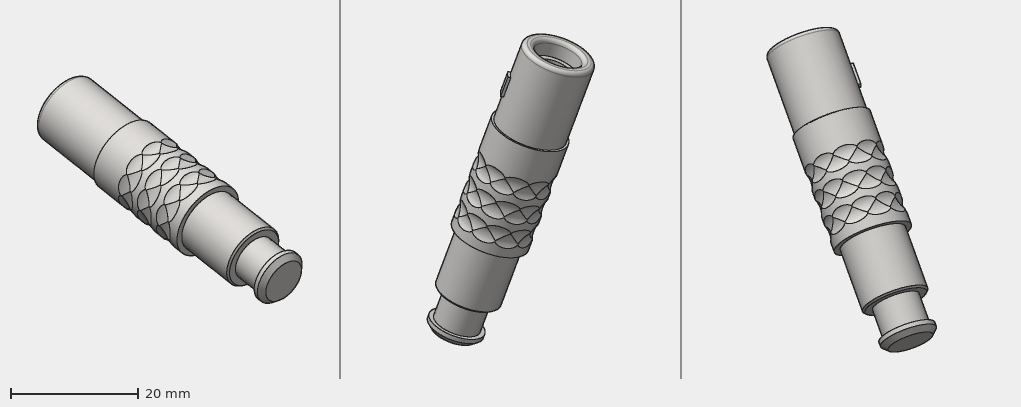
import cadquery as cq
import math


total_length = 52.0
sleeve_start = 14.3
sleeve_end = 34.0
rear_body_end = 45.0
flange_start = 50.3
flange_bevel_start = 51.05

nose_radius = 6.05
sleeve_radius = 6.45
rear_body_radius = 5.45
neck_radius = 3.9
flange_radius = 4.7
flange_end_radius = 3.75
rear_body_chamfer = 0.3

mouth_round = 0.75
bore_radius = 4.0
bore_depth = 3.0
insert_radius = 2.95
insert_floor_x = 7.6

pin_radius = 0.4
pin_tip_x = 4.1
pin_circle_radius = 1.85
outer_pin_count = 6

mark_start = 6.15
mark_length = 3.6
mark_width = 2.0
mark_radius = 6.5

grip_row_count = 3
grip_row_pitch = 4.45
first_ring_x = 21.25
ring_stagger = 0.85
scallops_per_ring = 10
scallop_radius = 2.45
scallop_depth = 0.39
scallop_cutter_length = 6.25


def cylinder_along_x(radius, start, end):
    return cq.Workplane("YZ", origin=(start, 0, 0)).circle(radius).extrude(end - start)


def outer_body():
    profile = [
        (0, 0),
        (0, nose_radius),
        (sleeve_start, nose_radius),
        (sleeve_start, sleeve_radius),
        (sleeve_end, sleeve_radius),
        (sleeve_end, rear_body_radius),
        (rear_body_end - rear_body_chamfer, rear_body_radius),
        (rear_body_end, rear_body_radius - rear_body_chamfer),
        (rear_body_end, neck_radius),
        (flange_start, neck_radius),
        (flange_start, flange_radius),
        (flange_bevel_start, flange_radius),
        (total_length, flange_end_radius),
        (total_length, 0),
    ]
    return cq.Workplane("XY").polyline(profile).close().revolve(360, (0, 0, 0), (1, 0, 0))


def socket(body):
    bored = body.cut(cylinder_along_x(bore_radius, 0, bore_depth))
    rounded = bored.faces("<X").edges().fillet(mouth_round)
    return rounded.cut(cylinder_along_x(insert_radius, bore_depth, insert_floor_x))


def contact_pins():
    """One central pin and a ring of pins around it, all with domed tips."""
    shank = cylinder_along_x(pin_radius, pin_tip_x + pin_radius, insert_floor_x)
    dome = cq.Workplane("XY").sphere(pin_radius).translate((pin_tip_x + pin_radius, 0, 0))
    pin = shank.union(dome).val()
    pins = [pin]
    for index in range(outer_pin_count):
        angle = 2 * math.pi * index / outer_pin_count
        offset_y = pin_circle_radius * math.sin(angle)
        offset_z = pin_circle_radius * math.cos(angle)
        pins.append(pin.translate(cq.Vector(0, offset_y, offset_z)))
    return pins


def index_mark():
    """Rectangular pad whose top follows a cylinder around the axis."""
    root_y = (bore_radius + nose_radius) / 2
    block = cq.Workplane("XY").box(
        mark_length, mark_radius - root_y, mark_width, centered=(False, False, True)
    ).translate((mark_start, root_y, 0))
    return block.intersect(cylinder_along_x(mark_radius, mark_start, mark_start + mark_length))


def scallop_ring(ring_x, start_angle):
    """Cylinders lying tangentially around the sleeve, each biting into its surface."""
    axis_distance = sleeve_radius - scallop_depth + scallop_radius
    cutter = cq.Solid.makeCylinder(
        scallop_radius,
        scallop_cutter_length,
        cq.Vector(ring_x, -axis_distance, -scallop_cutter_length / 2),
    )
    pitch_angle = 360 / scallops_per_ring
    return [
        cutter.rotate(cq.Vector(0, 0, 0), cq.Vector(1, 0, 0), start_angle + index * pitch_angle)
        for index in range(scallops_per_ring)
    ]


def grip_scallops():
    half_pitch_angle = 180 / scallops_per_ring
    cutters = []
    for row in range(grip_row_count):
        ring_x = first_ring_x + row * grip_row_pitch
        cutters += scallop_ring(ring_x, half_pitch_angle)
        cutters += scallop_ring(ring_x + ring_stagger, 0)
    return cutters


shell = socket(outer_body()).union(index_mark()).val()
gripped = shell.cut(*grip_scallops())
result = cq.Workplane("XY").newObject([gripped.fuse(*contact_pins())]).solids()